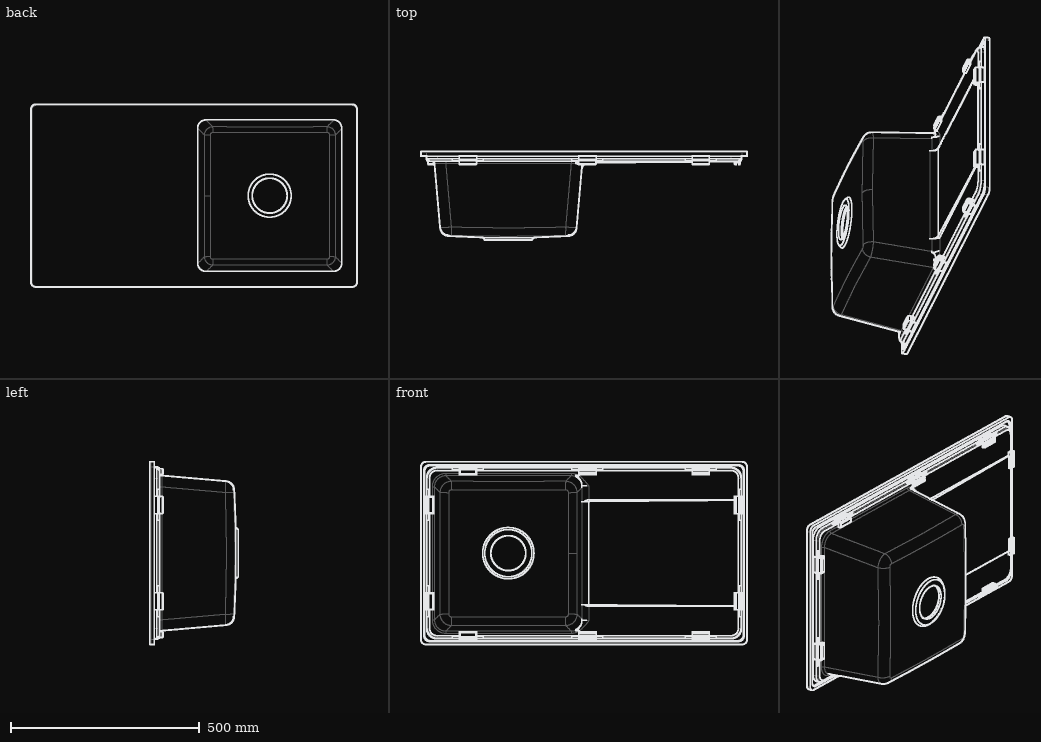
import cadquery as cq
import math


EDGE_MARGIN = 3.0
OVERLAP = 1.0

LENGTH = 864.07
WIDTH = 484.07
TOTAL_DEPTH = 235.0
RIM_DEPTH = 12.8
RIM_CORNER_RADIUS = 14.0
RIM_EDGE_RADIUS = 2.5

GROOVE_OUTER_INSET = 8.0
GROOVE_FLOOR_INSET = 10.6
GROOVE_CORNER_RADIUS = 16.0
GROOVE_DEPTH = 10.5

BODY_PROFILE = [(15.2, GROOVE_DEPTH), (16.4, 19.5), (19.0, 22.5), (23.4, 26.5)]
BODY_CORNER_RADIUS = 28.0
FIELD_DEPTH = BODY_PROFILE[-1][1]
FIELD_INSET = BODY_PROFILE[-1][0]

BOWL_X = -200.3
BOWL_HALF_LENGTH = 198.7
BOWL_HALF_WIDTH = 208.5
BOWL_DRAFT = 5.0
BOWL_CORNER_RADIUS = 30.0
BOWL_FLOOR_RADIUS = 24.0
BOWL_RIM_RADIUS = 6.0
WALL = 8.0

DRAIN_HOLE_RADIUS = 46.0
COLLAR_TOP_RADIUS = 68.0
COLLAR_BOTTOM_RADIUS = 62.5
COLLAR_HEIGHT = 6.4
FLOOR_SLOPE = 2.4
SEAT_RADIUS = 57.0
SEAT_THICKNESS = 7.5
FLOOR_DEPTH = TOTAL_DEPTH - COLLAR_HEIGHT
FLOOR_EDGE_ZONE = 40.0

PANEL_HALF_WIDTH = 141.0
PANEL_STEP_AT_BOWL = 4.5
PANEL_STEP_AT_END = 1.0
PANEL_END_X = LENGTH / 2 - FIELD_INSET

SWEEP_END_X = 12.7
SWEEP_WALL_DEPTH = 44.0
SWEEP_HALF_LENGTH = 178.0
SWEEP_TIP_X = -10.0
SWEEP_TIP_Z = 206.0
SWEEP_TIP_DEPTH = 31.0
SWEEP_TIP_SHIFT = -12.0

CLIP_XS = (-307.5, 9.0, 309.0)
CLIP_ZS = (-127.5, 127.5)
CLIP_WIDTH = 46.0
CLIP_OUTER_INSET = 18.5
CLIP_INNER_INSET = 34.0
CLIP_TOP_DEPTH = 12.0
CLIP_LEDGE_INSET = 14.0
CLIP_LEDGE_DEPTH = 21.5
CLIP_BOTTOM_DEPTH = 36.0
CLIP_CHAMFER = 2.5
CLIP_SLOT_OUTER_INSET = 23.0
CLIP_SLOT_INNER_INSET = 28.5
CLIP_SLOT_DEPTH = 30.0
FOOT_WIDTH = 82.0
FOOT_OUTER_INSET = 16.5
FOOT_INNER_INSET = 22.0
FOOT_DEPTH = 25.0


def at_depth(depth):
    """Workplane facing -Y with local axes X and Z."""
    return cq.Workplane("XZ", origin=(0, -depth, 0))


def inset_outline(inset, radius):
    """Rounded rectangle concentric with the rim."""
    return cq.Sketch().rect(LENGTH - 2 * inset, WIDTH - 2 * inset).vertices().fillet(radius)


def layer(upper, lower, upper_radius, lower_radius):
    """Rounded rectangular frustum between two (inset, depth) levels."""
    top = inset_outline(upper[0], upper_radius)
    bottom = inset_outline(lower[0], lower_radius)
    height = lower[1] - upper[1]
    placed_bottom = bottom.moved(cq.Location(cq.Vector(0, 0, height)))
    return at_depth(upper[1]).placeSketch(top, placed_bottom).loft(ruled=True)


def rim_plate():
    """Flat rim; everything inside the groove is cut back for the underside body to refill."""
    plate = at_depth(0).placeSketch(inset_outline(0, RIM_CORNER_RADIUS)).extrude(RIM_DEPTH)
    plate = plate.faces(">Y").edges().fillet(RIM_EDGE_RADIUS)
    groove = layer(
        (GROOVE_FLOOR_INSET, GROOVE_DEPTH),
        (GROOVE_OUTER_INSET, RIM_DEPTH),
        GROOVE_CORNER_RADIUS - (GROOVE_FLOOR_INSET - GROOVE_OUTER_INSET),
        GROOVE_CORNER_RADIUS,
    )
    return plate.cut(groove)


def underside_body():
    """Stack of frustums that forms the border and the flat field under the sink."""
    first_inset = BODY_PROFILE[0][0]
    body = None
    for upper, lower in zip(BODY_PROFILE, BODY_PROFILE[1:]):
        upper_radius = BODY_CORNER_RADIUS - (upper[0] - first_inset)
        lower_radius = BODY_CORNER_RADIUS - (lower[0] - first_inset)
        part = layer(upper, lower, upper_radius, lower_radius)
        body = part if body is None else body.union(part)
    return body


def bowl_wall_x(depth):
    """X of the outer bowl wall beside the drainer at the given depth."""
    return BOWL_X + BOWL_HALF_LENGTH - depth * math.tan(math.radians(BOWL_DRAFT))


def bowl_form(inward):
    """Drafted, rounded bowl solid with a conical floor, offset inwards by the given distance."""
    slope = math.tan(math.radians(FLOOR_SLOPE))
    side_shift = inward / math.cos(math.radians(BOWL_DRAFT))
    form = (
        at_depth(0)
        .center(BOWL_X, 0)
        .rect(2 * (BOWL_HALF_LENGTH - side_shift), 2 * (BOWL_HALF_WIDTH - side_shift))
        .extrude(TOTAL_DEPTH, taper=BOWL_DRAFT)
    )
    form = form.edges("not(|X or |Z)").fillet(BOWL_CORNER_RADIUS - inward)
    reach = 2 * BOWL_HALF_WIDTH
    apex_depth = FLOOR_DEPTH + COLLAR_TOP_RADIUS * slope - inward
    cone = (
        cq.Workplane("XY")
        .polyline([(0, 0), (reach, 0), (reach, -(apex_depth - reach * slope)), (0, -apex_depth)])
        .close()
        .revolve(360, (0, 0, 0), (0, 1, 0))
        .translate((BOWL_X, 0, 0))
    )
    form = form.intersect(cone)
    floor_edge = cq.selectors.BoxSelector(
        (-LENGTH, -TOTAL_DEPTH, -WIDTH), (LENGTH, -FLOOR_DEPTH + FLOOR_EDGE_ZONE, WIDTH)
    )
    return form.edges(floor_edge).fillet(BOWL_FLOOR_RADIUS - inward)


def slab_with_bowl():
    """Underside body and solid bowl, with a fillet where they meet."""
    shape = underside_body().union(bowl_form(0))
    mouth = cq.selectors.BoxSelector(
        (BOWL_X - BOWL_HALF_LENGTH, -FIELD_DEPTH - EDGE_MARGIN, -BOWL_HALF_WIDTH),
        (BOWL_X + BOWL_HALF_LENGTH, -FIELD_DEPTH + EDGE_MARGIN, BOWL_HALF_WIDTH),
        boundingbox=True,
    )
    return shape.edges(mouth).fillet(BOWL_RIM_RADIUS)


def drainer_panel():
    """Wedge with sloping sides, deepest beside the bowl and thinning towards the far end."""

    def section(x, step):
        half = PANEL_HALF_WIDTH
        corners = [
            (-half, -RIM_DEPTH),
            (half, -RIM_DEPTH),
            (half, -FIELD_DEPTH),
            (half - step, -FIELD_DEPTH - step),
            (step - half, -FIELD_DEPTH - step),
            (-half, -FIELD_DEPTH),
        ]
        points = [cq.Vector(x, y, z) for z, y in corners]
        return cq.Wire.makePolygon(points, close=True)

    start = section(bowl_wall_x(FIELD_DEPTH), PANEL_STEP_AT_BOWL)
    end = section(PANEL_END_X, PANEL_STEP_AT_END)
    return cq.Workplane(cq.Solid.makeLoft([start, end], True))


def sweep_wire(z, end_x, end_depth, wall_depth, wall_shift=0.0):
    """Section of the large fillet: a concave arc tangent to the bowl wall, backed into the slab."""
    wall_x = bowl_wall_x(wall_depth) + wall_shift
    back_x = wall_x - BOWL_RIM_RADIUS
    wall_point = cq.Vector(wall_x, -wall_depth, z)
    field_point = cq.Vector(end_x, -end_depth, z)
    back_low = cq.Vector(back_x, -wall_depth, z)
    back_high = cq.Vector(back_x, -end_depth + OVERLAP, z)
    field_high = cq.Vector(end_x, -end_depth + OVERLAP, z)
    draft = math.radians(BOWL_DRAFT)
    up_the_wall = cq.Vector(math.sin(draft), math.cos(draft), 0)
    edges = [
        cq.Edge.makeTangentArc(wall_point, up_the_wall, field_point),
        cq.Edge.makeLine(field_point, field_high),
        cq.Edge.makeLine(field_high, back_high),
        cq.Edge.makeLine(back_high, back_low),
        cq.Edge.makeLine(back_low, wall_point),
    ]
    return cq.Wire.assembleEdges(edges)


def sweep_prism(half_length, end_depth):
    """Straight stretch of the large fillet, meeting the drainer underside at the given depth."""
    wall_depth = SWEEP_WALL_DEPTH + end_depth - FIELD_DEPTH
    wires = [sweep_wire(z, SWEEP_END_X, end_depth, wall_depth) for z in (-half_length, half_length)]
    return cq.Workplane(cq.Solid.makeLoft(wires, True))


def bowl_sweep():
    """Large fillet beside the drainer, running out around both bowl corners."""
    panel_half = PANEL_HALF_WIDTH - PANEL_STEP_AT_BOWL
    shape = sweep_prism(SWEEP_HALF_LENGTH, FIELD_DEPTH)
    shape = shape.union(sweep_prism(panel_half, FIELD_DEPTH + PANEL_STEP_AT_BOWL))
    for side in (-1, 1):
        full = sweep_wire(side * SWEEP_HALF_LENGTH, SWEEP_END_X, FIELD_DEPTH, SWEEP_WALL_DEPTH)
        tip = sweep_wire(side * SWEEP_TIP_Z, SWEEP_TIP_X, FIELD_DEPTH, SWEEP_TIP_DEPTH, SWEEP_TIP_SHIFT)
        shape = shape.union(cq.Workplane(cq.Solid.makeLoft([full, tip], True)))
    return shape


def edge_block(width, outer_inset, inner_inset, top_depth, bottom_depth):
    """Block lying along an edge at Z = 0: local X along the edge, inset measured towards -Z."""
    size = (width, bottom_depth - top_depth, inner_inset - outer_inset)
    centre = (0, -(bottom_depth + top_depth) / 2, -(inner_inset + outer_inset) / 2)
    return cq.Workplane("XY").box(*size).translate(centre)


def clip(slotted):
    """Clip below the +Z edge, with a thin foot along the border; the slot makes it a two-pronged hook."""
    body = edge_block(CLIP_WIDTH, CLIP_OUTER_INSET, CLIP_INNER_INSET, CLIP_TOP_DEPTH, CLIP_BOTTOM_DEPTH)
    body = body.faces("<Y").edges().chamfer(CLIP_CHAMFER)
    if slotted:
        slot = edge_block(
            CLIP_WIDTH,
            CLIP_SLOT_OUTER_INSET,
            CLIP_SLOT_INNER_INSET,
            CLIP_SLOT_DEPTH,
            CLIP_BOTTOM_DEPTH,
        )
        body = body.cut(slot)
    ledge = edge_block(CLIP_WIDTH, CLIP_LEDGE_INSET, CLIP_OUTER_INSET, CLIP_TOP_DEPTH, CLIP_LEDGE_DEPTH)
    foot = edge_block(FOOT_WIDTH, FOOT_OUTER_INSET, FOOT_INNER_INSET, CLIP_TOP_DEPTH, FOOT_DEPTH)
    return body.union(ledge).union(foot)


def clips():
    """Three clips along each long edge and two along each short edge."""
    shape = cq.Workplane()
    origin = (0, 0, 0)
    y_end = (0, 1, 0)
    for x in CLIP_XS:
        long_edge_clip = clip(x > bowl_wall_x(0)).translate((x, 0, WIDTH / 2))
        shape = shape.union(long_edge_clip).union(long_edge_clip.mirror("XY"))
    for z in CLIP_ZS:
        drainer_clip = clip(True).rotate(origin, y_end, 90).translate((LENGTH / 2, 0, z))
        bowl_clip = clip(False).rotate(origin, y_end, -90).translate((-LENGTH / 2, 0, z))
        shape = shape.union(drainer_clip).union(bowl_clip)
    return shape


def drain_collar():
    """Tapered ring under the bowl floor, started inside the floor thickness."""
    taper = math.degrees(math.atan((COLLAR_TOP_RADIUS - COLLAR_BOTTOM_RADIUS) / COLLAR_HEIGHT))
    collar = at_depth(FLOOR_DEPTH).center(BOWL_X, 0).circle(COLLAR_TOP_RADIUS)
    collar = collar.extrude(COLLAR_HEIGHT, taper=taper)
    root = at_depth(FLOOR_DEPTH - WALL / 2).center(BOWL_X, 0).circle(COLLAR_TOP_RADIUS).extrude(WALL / 2)
    return collar.union(root)


def drain_opening():
    """Through hole with a recessed seat for the strainer in the bowl floor."""
    hole = at_depth(0).center(BOWL_X, 0).circle(DRAIN_HOLE_RADIUS).extrude(TOTAL_DEPTH)
    seat = at_depth(0).center(BOWL_X, 0).circle(SEAT_RADIUS).extrude(TOTAL_DEPTH - SEAT_THICKNESS)
    return hole.union(seat)


sink = rim_plate().union(slab_with_bowl())
for addition in (drainer_panel(), bowl_sweep(), clips(), drain_collar()):
    sink = sink.union(addition)
result = sink.cut(bowl_form(WALL)).cut(drain_opening())